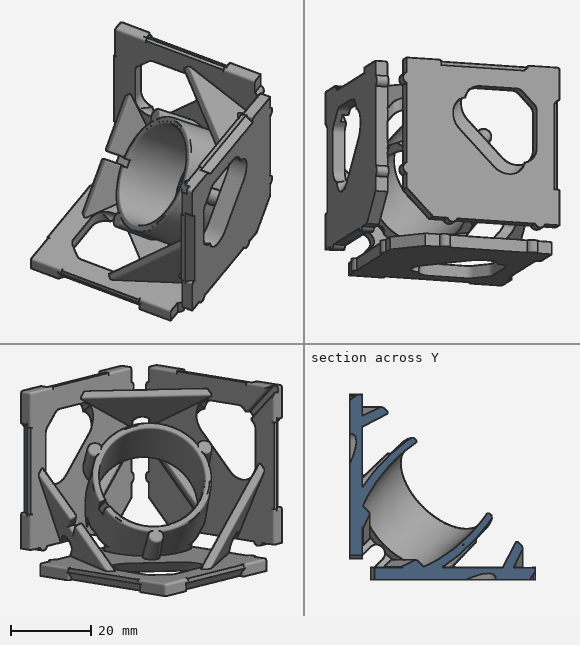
import cadquery as cq
import math

SIZE = 46.4
EDGE_ROUND = 0.5
PLATE_ROUND = 0.65
DRAFT_ANGLE = 1.0

PLATE_THICKNESS = 3.15
INNER_EDGE = 6.15
INNER_CHAMFER = 6.95
BUMP_HEIGHT = 0.95
BUMP_LENGTH = 2.8
BUMP_OFFSET = 11.5
TAB_LENGTH = 9.05
BEVEL_HEIGHT = 2.05
BEVEL_DEPTH = 1.4
BEVEL_START = 14.75
BEVEL_END = 38.45
BEVEL_END_SLANT = 0.95

WINDOW_NEAR = 21.55
WINDOW_FAR = 40.35
WINDOW_DIAGONAL_SUM = 55.45
WINDOW_FAR_CHAMFER = 4.45
WINDOW_NEAR_ROUND = 5.55
WINDOW_FAR_ROUND = 2.3
WINDOW_SIDE_ROUND = 3.95

FRONT = 41.3
BORE_RADIUS = 13.25
TUBE_RADIUS = 15.0
TUBE_BASE = 20.9
LEDGE_HEIGHT = 24.17
LEDGE_INRADIUS = 10.65
PIN_RADIUS = 2.25
PIN_DISTANCE = 15.85
PIN_BASE = 23.2
GUSSET_DISTANCE = 21.85
GUSSET_THICKNESS = 2.2
SLOT_RADIUS = 2.15
SLOT_CENTRE = 6.7
FOOT_DEPTH = 1.6

CHANNEL_WIDTH = 2.0
CHANNEL_FLOOR = 34.1
CHANNEL_START = 16.55
GROOVE_DEPTH = 1.6

AXIS = (1, 1, 1)
axis_frame = cq.Plane(origin=(0, 0, 0), xDir=(2, -1, -1), normal=AXIS)


def place(body):
    """Move a body from the optical axis frame to the corner frame."""
    return cq.Workplane(body.val().moved(cq.Location(axis_frame)))


def above_plates(height):
    """Block of space that starts at one height over the outer faces of all three plates."""
    return cq.Workplane("XY").box(SIZE, SIZE, SIZE, centered=False).translate((height, height, height))


def thirds(body):
    """Repeat a body three times around the optical axis of the corner frame."""
    turned = [body.rotate((0, 0, 0), AXIS, 120 * i) for i in range(3)]
    return turned[0].union(turned[1]).union(turned[2])


def with_mirror_image(body):
    """The body together with its copy that has x and y exchanged."""
    return body.union(body.mirror((1, -1, 0)))


def bump(centre):
    """Rounded snap bump on the inner edge of a plate, running along y."""
    half = BUMP_LENGTH / 2
    return (
        cq.Workplane("XY")
        .moveTo(INNER_EDGE, centre - half)
        .threePointArc((INNER_EDGE - BUMP_HEIGHT, centre), (INNER_EDGE, centre + half))
        .close()
        .extrude(PLATE_THICKNESS)
    )


def bevel():
    """Undercut along the lower outer edge of a plate, between the corner tabs."""
    wedge = (
        cq.Workplane("XZ")
        .polyline([(SIZE, 0), (SIZE, BEVEL_HEIGHT), (SIZE - BEVEL_DEPTH, 0)])
        .close()
        .extrude(-SIZE)
    )
    mouth = SIZE - EDGE_ROUND
    back = SIZE - BEVEL_DEPTH
    first_wall = BEVEL_START + EDGE_ROUND
    last_wall = BEVEL_END - EDGE_ROUND
    bend = EDGE_ROUND * math.sqrt(0.5)
    reach = (
        cq.Workplane("XY")
        .moveTo(SIZE, BEVEL_START)
        .lineTo(SIZE, BEVEL_END)
        .threePointArc((mouth + bend, BEVEL_END - bend), (mouth, last_wall))
        .lineTo(back, last_wall - BEVEL_END_SLANT)
        .lineTo(back, first_wall)
        .lineTo(mouth, first_wall)
        .threePointArc((mouth + bend, BEVEL_START + bend), (SIZE, BEVEL_START))
        .close()
        .extrude(BEVEL_HEIGHT)
    )
    return wedge.intersect(reach)


def window():
    """Hole whose inner walls lean along the optical axis and whose outer walls are straight."""
    near_end = WINDOW_DIAGONAL_SUM - WINDOW_NEAR
    far_end = WINDOW_FAR - WINDOW_FAR_CHAMFER
    outline = [
        (WINDOW_NEAR, near_end),
        (near_end, WINDOW_NEAR),
        (WINDOW_FAR, WINDOW_NEAR),
        (WINDOW_FAR, far_end),
        (far_end, WINDOW_FAR),
        (WINDOW_NEAR, WINDOW_FAR),
    ]
    top = cq.Workplane("XY", origin=(0, 0, PLATE_THICKNESS))
    straight = top.polyline(outline).close().extrude(-PLATE_THICKNESS)
    diagonal = cq.Vector(1, 1, 0)
    for rank, radius in ((1, WINDOW_SIDE_ROUND), (0, WINDOW_NEAR_ROUND), (-1, WINDOW_FAR_ROUND)):
        corners = straight.edges("|Z").edges(cq.selectors.CenterNthSelector(diagonal, rank))
        straight = corners.fillet(radius)
    face = straight.faces(">Z").val()
    lean = cq.Vector(-PLATE_THICKNESS, -PLATE_THICKNESS, -PLATE_THICKNESS)
    leaning = cq.Solid.extrudeLinear(face.outerWire(), [], lean)
    return straight.union(cq.Workplane(leaning))


def plate():
    """Square plate with corner tabs, snap bumps, undercut edges and a window."""
    side = SIZE - INNER_EDGE
    slab = cq.Workplane("XY").box(side, side, PLATE_THICKNESS, centered=False)
    slab = slab.translate((INNER_EDGE, INNER_EDGE, 0))
    slab = slab.edges("|Z and <X and <Y").chamfer(INNER_CHAMFER)
    corner_edge = slab.edges("|Z and >X and >Y")
    slab = corner_edge.add(slab.faces(">Z").edges(">X or >Y")).fillet(PLATE_ROUND)

    strip_length = side - 2 * TAB_LENGTH
    strip = cq.Workplane("XY").box(BEVEL_DEPTH, strip_length, PLATE_THICKNESS, centered=False)
    strip = strip.translate((SIZE - BEVEL_DEPTH, INNER_EDGE + TAB_LENGTH, 0))

    edge_middle = (INNER_EDGE + INNER_CHAMFER + SIZE) / 2
    bumps = bump(edge_middle - BUMP_OFFSET).union(bump(edge_middle + BUMP_OFFSET))
    edge_details = with_mirror_image(strip.union(bumps))
    return slab.union(edge_details).cut(with_mirror_image(bevel())).cut(window())


def channel():
    """Box across the symmetry plane that clears the first gusset and notches the tube rim."""
    box = cq.Workplane("XY").box(SIZE, CHANNEL_WIDTH, SIZE, centered=(False, True, False))
    box = box.translate((CHANNEL_FLOOR, 0, CHANNEL_START))
    return box.rotate((0, 0, 0), (1, 0, 0), -45)


def groove():
    """Channel with rounded rims in the first plate, running from its window to its outer corner."""
    half = CHANNEL_WIDTH / 2
    floor = PLATE_THICKNESS - GROOVE_DEPTH
    shoulder = PLATE_THICKNESS - EDGE_ROUND
    bend = EDGE_ROUND * (1 - math.sqrt(0.5))
    start = (WINDOW_FAR - WINDOW_FAR_CHAMFER / 2) * math.sqrt(2) - EDGE_ROUND
    rim = half + EDGE_ROUND
    profile = (
        cq.Workplane("XY", origin=(0, 0, start))
        .moveTo(floor, -half)
        .lineTo(shoulder, -half)
        .threePointArc((PLATE_THICKNESS - bend, -half - bend), (PLATE_THICKNESS, -rim))
        .lineTo(PLATE_THICKNESS, rim)
        .threePointArc((PLATE_THICKNESS - bend, half + bend), (shoulder, half))
        .lineTo(floor, half)
        .close()
    )
    return profile.extrude(SIZE).rotate((0, 0, 0), (1, 0, 0), -45)


def corner_slot():
    """Round-ended slot, open towards the meeting edge of the second and third plates."""
    end = (
        cq.Workplane("YZ")
        .center(SLOT_CENTRE, SLOT_CENTRE)
        .circle(SLOT_RADIUS)
        .extrude(SIZE)
    )
    way = cq.Workplane("XY").box(SIZE, 2 * SLOT_RADIUS, SIZE, centered=(False, True, False))
    way = way.translate((0, 0, -SIZE)).rotate((0, 0, 0), (1, 0, 0), -45)
    way = way.translate((0, SLOT_CENTRE, SLOT_CENTRE))
    return end.union(way)


def is_exposed(edge):
    """True for the front edges of a gusset bar, except those running along x inside its notch."""
    height = edge.Center().dot(cq.Vector(AXIS).normalized())
    runs_along_x = edge.geomType() == "LINE" and abs(edge.tangentAt(0).x) > 0.99
    near_middle = abs(edge.Center().y - edge.Center().z) < SIZE
    return height > FRONT / 2 + GUSSET_THICKNESS and near_middle and not runs_along_x


def gusset(notch=None):
    """Drafted bar that braces the second and third plates in front of their meeting edge."""
    front = cq.Workplane("XY", origin=(GUSSET_DISTANCE + GUSSET_THICKNESS / 2, 0, FRONT))
    bar = place(front.rect(GUSSET_THICKNESS, 2 * SIZE).extrude(-FRONT, taper=-DRAFT_ANGLE))
    if notch is not None:
        bar = bar.cut(notch)
    bar = bar.edges().filter(is_exposed).fillet(EDGE_ROUND)
    between_plates = cq.Workplane("XY").box(SIZE, SIZE, SIZE, centered=False)
    between_plates = between_plates.translate((0, PLATE_THICKNESS, PLATE_THICKNESS))
    return bar.intersect(between_plates).cut(corner_slot())


def tube(notch):
    """Drafted holder tube with a rounded rim and a three-sided ledge at its foot."""
    front = cq.Workplane("XY", origin=(0, 0, FRONT))
    full_depth = FRONT - TUBE_BASE
    wall_depth = FRONT - LEDGE_HEIGHT
    cone = front.circle(TUBE_RADIUS).extrude(-full_depth, taper=-DRAFT_ANGLE)
    wall = front.circle(TUBE_RADIUS).extrude(-wall_depth, taper=-DRAFT_ANGLE)
    bore = front.circle(BORE_RADIUS).extrude(-wall_depth, taper=DRAFT_ANGLE)
    ledge = (
        cq.Workplane("XY", origin=(0, 0, TUBE_BASE))
        .circle(3 * LEDGE_INRADIUS)
        .polygon(3, 4 * LEDGE_INRADIUS)
        .extrude(LEDGE_HEIGHT - TUBE_BASE)
        .faces(">Z")
        .edges("%LINE")
        .fillet(EDGE_ROUND)
    )
    body = wall.cut(bore).union(ledge.intersect(cone))
    body = body.faces(">Z").edges().fillet(EDGE_ROUND)
    return place(body).intersect(above_plates(FOOT_DEPTH)).cut(notch).cut(thirds(corner_slot()))


def pin():
    """Drafted pin with a rounded end, rising beside the tube from the first plate."""
    body = (
        cq.Workplane("XY", origin=(-PIN_DISTANCE, 0, PIN_BASE))
        .circle(PIN_RADIUS)
        .extrude(FRONT - PIN_BASE, taper=DRAFT_ANGLE)
        .faces(">Z")
        .edges()
        .fillet(EDGE_ROUND)
    )
    bore = cq.Workplane("XY").circle(BORE_RADIUS + EDGE_ROUND).extrude(SIZE)
    return place(body.cut(bore)).intersect(above_plates(FOOT_DEPTH))


notch = channel()
gussets = gusset(notch)
for turn in (120, 240):
    gussets = gussets.union(gusset().rotate((0, 0, 0), AXIS, turn))

part = thirds(plate()).cut(groove()).union(gussets).union(tube(notch)).union(thirds(pin()))

result = part.rotate((0, 0, 0), (0, 0, 1), 180).translate((SIZE, SIZE, 0))